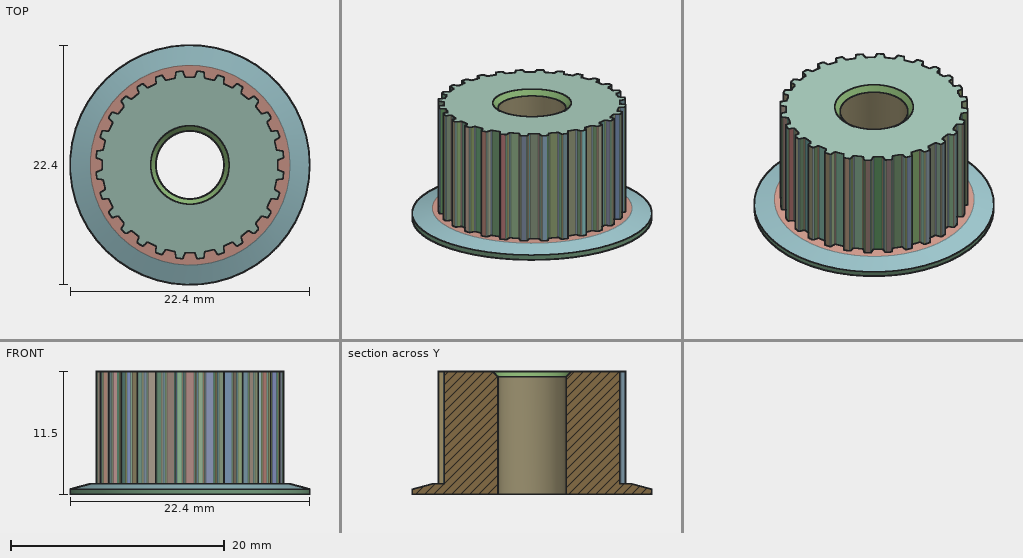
import cadquery as cq
import math

total_height = 11.5

flange_diameter = 22.45
flange_top_diameter = 18.7
rim_height = 0.5
flange_height = 1.0

tooth_count = 28
tip_diameter = 17.6
groove_depth = 0.58
groove_floor_width = 0.92
flank_angle = 20.0
floor_round = 0.13
tip_round = 0.13

bore_diameter = 6.35
bore_chamfer = 0.5


def make_flange():
    """Disc whose upper half tapers in to the flat around the teeth."""
    rim_radius = flange_diameter / 2
    top_radius = flange_top_diameter / 2
    return (
        cq.Workplane("XZ")
        .lineTo(rim_radius, 0)
        .lineTo(rim_radius, rim_height)
        .lineTo(top_radius, flange_height)
        .lineTo(0, flange_height)
        .close()
        .revolve(360, (0, 0), (0, 1))
    )


def make_groove():
    """Trapezoidal prism for the groove on +Y, running on past the tooth tips."""
    tip_radius = tip_diameter / 2
    floor_y = tip_radius - groove_depth
    mouth_y = tip_radius + groove_depth
    floor_half = groove_floor_width / 2
    mouth_half = floor_half + (mouth_y - floor_y) * math.tan(math.radians(flank_angle))
    return (
        cq.Workplane("XY")
        .workplane(offset=flange_height)
        .moveTo(-floor_half, floor_y)
        .lineTo(floor_half, floor_y)
        .lineTo(mouth_half, mouth_y)
        .lineTo(-mouth_half, mouth_y)
        .close()
        .extrude(total_height - flange_height)
        .faces("<Y")
        .edges("|Z")
        .fillet(floor_round)
    )


def make_toothed_body():
    """Cylinder with grooves cut all round and the tooth tips rounded."""
    body = (
        cq.Workplane("XY")
        .workplane(offset=flange_height)
        .circle(tip_diameter / 2)
        .extrude(total_height - flange_height)
    )
    groove = make_groove()
    for index in range(tooth_count):
        angle = index * 360 / tooth_count
        body = body.cut(groove.rotate((0, 0, 0), (0, 0, 1), angle))

    middle_radius = (tip_diameter - groove_depth) / 2

    def is_tip_corner(edge):
        center = edge.Center()
        return math.hypot(center.x, center.y) > middle_radius

    tip_corners = [edge for edge in body.edges("|Z").vals() if is_tip_corner(edge)]
    return body.newObject(tip_corners).fillet(tip_round)


def make_bore():
    """Through bore with a chamfered mouth at the top."""
    bore_radius = bore_diameter / 2
    mouth_radius = bore_radius + bore_chamfer
    return (
        cq.Workplane("XZ")
        .lineTo(bore_radius, 0)
        .lineTo(bore_radius, total_height - bore_chamfer)
        .lineTo(mouth_radius, total_height)
        .lineTo(0, total_height)
        .close()
        .revolve(360, (0, 0), (0, 1))
    )


result = make_flange().union(make_toothed_body()).cut(make_bore())